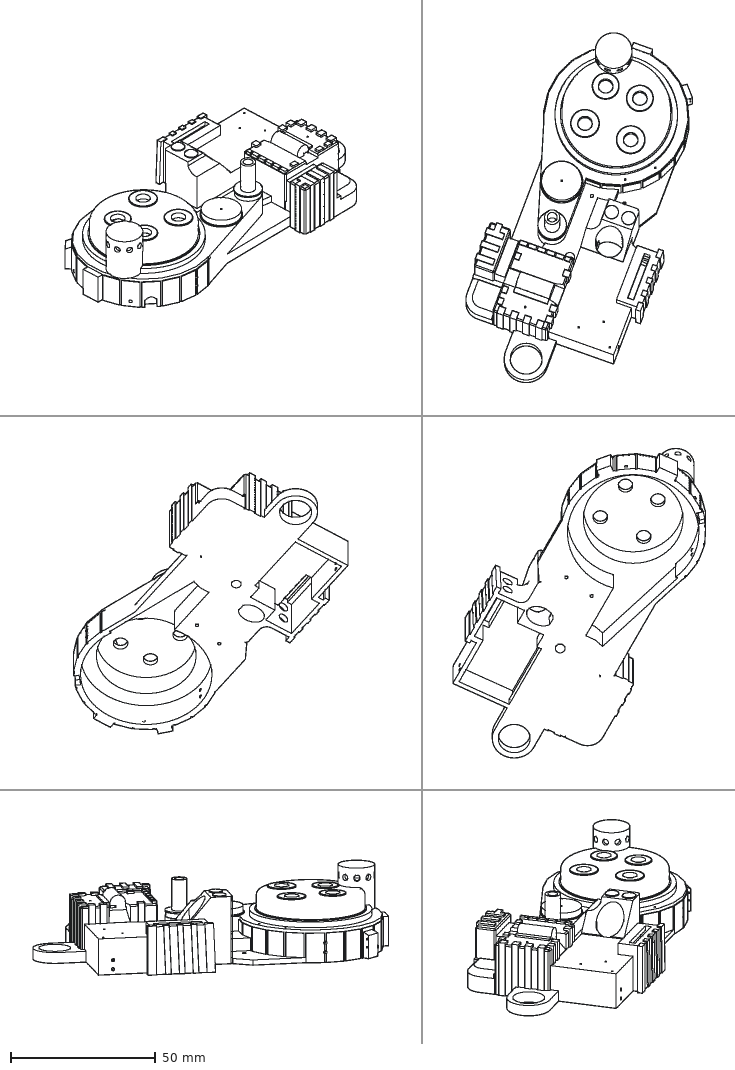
import cadquery as cq
import math


OVERLAP = 1.3

FACETS = 22
FACET_STEP = 360 / FACETS
FRONT_ANGLE = 270
CAP_APOTHEM = 24.7
PANEL_APOTHEM = 25
PANEL_ROOT = CAP_APOTHEM - OVERLAP
PANEL_WIDTH = 6.5
PANEL_HEIGHT = 10.5
ARM_TOP = 11.6
RING_RADIUS = 21.3
RING_TOP = 13.6
LIP_RADIUS = 19.4
LIP_HEIGHT = 0.4
DOME_RADIUS = 18.9
DOME_TOP = 20.1
DOME_FILLET = 1.6
PAD_HEIGHT = 0.4
PAD_CHAMFER = 0.19
DOME_HOLE_DIAMETER = 5
PAD_PAIRS = [(16.9, 8.5, 10), (12.6, -6.5, 9.4)]
CAM_X = 7.5
CAM_Y = -17.8
CAM_RADIUS = 6.4
CAM_TOP = 27.0
CAM_WALL = 1.3
CAM_VENTS = 9
CAM_VENT_DIAMETER = 2.1
CAM_VENT_Z = 23.4
CAM_CAVITY_HEIGHT = 5

FRONT_KEY_WIDTH = 7.1
FRONT_KEY_REACH = 26.9
SIDE_KEY_FACET = -3
SIDE_KEY_ANGLE = FRONT_ANGLE + SIDE_KEY_FACET * FACET_STEP
SIDE_KEY_WIDTH = 5.3
SIDE_KEY_REACH = 27.3
SIDE_KEY_OUTER_HEIGHT = 8.3
SIDE_KEY_INNER_HEIGHT = 9.3

WALL = 1.6
DRUM_CAVITY_RADIUS = 22.8
DOME_CAVITY_RADIUS = DOME_RADIUS - WALL
GEARBOX_CAVITY_FRONT = 49.8
CLIP_CAVITY_RIGHT = -19.6

DOT_DIAMETER = 0.5
DOT_DEPTH = 1.0
PORT_DIAMETER = 1.06
PORT_DEPTH = 1.9
PORT_FACETS = (-2, 2)
PORT_Z = 2.1
CROSS_HOLE_HEIGHTS = (3.6, 7.0)
KEY_HOLE_RADIUS = 26.5
KEY_HOLE_HEIGHTS = (4.0, 6.9)
CAP_DOTS = [(-10.8, 20.4), (-19.1, 12.9)]
GEARBOX_DOTS = [(-26.7, 79.0), (-14.0, 76.0), (-21.4, 71.1)]
MOTOR_DOTS = [(5.4, 77.0)]
PLATE_HOLES = [(-1.5, 28.7), (-12.6, 26.2)]
GEARBOX_SIDE_HOLES = [(76.0, 1.9), (76.0, 5.1)]

NICHE_FACET = 3
NICHE_WIDTH = 4.3
NICHE_SIDE_HEIGHT = 2.8
NICHE_HEIGHT = 4.3
NICHE_SHOULDER = (1.3, 3.8)

PLATE_LEFT = -24.2
PLATE_CORNER_Y = 25.5
PLATE_THICKNESS = 1.9
DECK_LEFT = -9.4
DECK_RIGHT = 19.6
DECK_HEIGHT = 6.4
LOW_DECK_HEIGHT = 3.9
DECK_STEP_X = 8.8
DECK_HOLE_X = -1.9
DECK_HOLE_Y = 51.9
DECK_HOLE_DIAMETER = 3.4
POST_X = 7.1
POST_Y = 45
POST_BASE_RADIUS = 5
POST_BASE_TOP = 13.9
POST_FLANGE_THICKNESS = 0.5
POST_FLANGE_OVERHANG = 0.3
POST_DIAMETER = 5.3
POST_TOP = 24.9
POST_BORE_DIAMETER = 3.4
POST_BORE_DEPTH = 7.5
ARM_LEFT = POST_X - POST_BASE_RADIUS
PULLEY_X = 9.5
PULLEY_Y = 29.0
PULLEY_RADIUS = 7.4
PULLEY_TOP = 14.3
PULLEY_STEP = 0.4
PULLEY_STEP_TOP = 12.0

LUG_RADIUS = 7.6
LUG_Y = 90.6
LUG_HOLE_DIAMETER = 11.0
LUG_THICKNESS = 3.9

BOX_LEFT = -28.8
BOX_RIGHT = -4.8
BOX_FRONT = 42.4
BOX_BACK = 81.1
BOX_TOP = 12.9
BOX_CORNER_RADIUS = 3.1
CLIP_LEFT = -32.2
CLIP_RIGHT = -23.3
CLIP_BACK = 63.2
CLIP_TOP = 17.0
CLIP_SLOT = (-28.8, -26.7, 44.3, 61.2)
CLIP_HOLE_DIAMETER = 3.5
CLIP_HOLE_X = -27.2
CLIP_HOLE_HEIGHTS = (6.0, 11.9)
CLIP_RIB_LEFT = -32.5
CLIP_RIB_DEPTH = 1.8
CLIP_RIB_TOP = 17.4
CLIP_RIB_LEAN = 0.8
CLIP_RIB_WIDTH = 2.0
CLIP_RIB_PITCH = 4.9
CLIP_RIB_START = 56.8
CLIP_END_RIB = (61.3, 64.3)
CLIP_RIB_COUNT = 4
CLIP_LAST_RIB_WIDTH = 3.0
BRACKET_LEFT = -20.4
BRACKET_STEP = -9.0
BRACKET_FRONT = 31.8
BRACKET_BACK = 48.8
BRACKET_BACK_TOP = 13.3
BRACKET_TOP = 23.9
BRACKET_TOP_BACK = 39.5
BRACKET_STEP_TOP = 22.3
BRACKET_SHELF_TOP = 19.6
BRACKET_CURVE_MIDDLE = (-7.8, 20.5)
BRACKET_CHAMFER = 0.8
SCREW_DIAMETER = 4.8
SCREW_HEIGHT = 0.4
SCREW_XS = (-17.8, -11.5)
SCREW_Y = 36.0
EYE_X = -13.9
EYE_FRONT = 40.4
EYE_HALF_WIDTH = 4.9
EYE_LENGTH_BOTTOM = 6.9
EYE_LENGTH_TOP = 10

MOTOR_LEFT = -4.6
MOTOR_RIGHT = 15.5
MOTOR_FRONT = 55
MOTOR_BACK = 82.2
MOTOR_TOP = 18.9
MOTOR_BEVEL = 0.5
TOOTH_TOP = 19.6
TOOTH_WIDTH = 2.4
TOOTH_DEPTH = 2.4
SIDE_TOOTH_REACH = 0.6
BACK_TOOTH_REACH = 0.4
LEFT_TOOTH_YS = (61.0, 74.3, 78.5)
RIGHT_TOOTH_YS = (61.0, 73.7, 78.1)
BACK_TOOTH_START = -1.6
BACK_TOOTH_PITCH = 4.8
BACK_TOOTH_COUNT = 4
FRONT_BAR = (-3.5, 15.1)
FRONT_BAR_INSET = 0.1
FRONT_BAR_DEPTH = 1.6
FRONT_GAP_START = -1.4
FRONT_GAP_PITCH = 3.4
FRONT_GAP_COUNT = 5
FRONT_GAP_WIDTH = 0.5
SADDLE_FRONT = 65.6
SADDLE_BACK = 71.6
SADDLE_FLOOR = 17.5
SADDLE_FLARE = 0.8
RAMP_TOP = 16.6
BAR_LEFT = -1.5
BAR_RIGHT = 11.0
BAR_RADIUS = 2.8
BAR_AXIS_Z = 19.1
BAR_Y = (SADDLE_FRONT + SADDLE_BACK) / 2
BAR_GAP = (69.2, 71.2, 0.8)
STRIP_BACK = 73.5
STRIP_TOP = 19.5

COVER_LEFT = 15.9
COVER_RIGHT = 27.2
COVER_FRONT = 70.7
COVER_TOP = 8.1
COVER_CORNER_RADIUS = 6.0
COVER_BEVEL = 2.3
LEDGE_DROP = 0.8
SPACER_TOP = 16.3
SPACER_BACK = 68.8
GRIP_FRONT = 52.5
GRIP_BACK = 69.3
GRIP_TOP = 18.9
GRIP_CHAMFER = 0.5
GRIP_RIB_TOP = 19.5
GRIP_RIB_LEFT = 21.0
GRIP_RIB_REACH = 0.4
GRIP_RIB_WIDTH = 2.1
GRIP_RIB_PITCH = 4.9
GRIP_RIB_START = 56.0
GRIP_RIB_COUNT = 3
GRIP_FRONT_RIB_X = 23.9
GRIP_FRONT_RIB_DEPTH = 2.5


def box(x0, x1, y0, y1, z0, z1):
    return cq.Workplane("XY").box(x1 - x0, y1 - y0, z1 - z0, centered=False).translate((x0, y0, z0))


def cylinder(x, y, radius, z0, z1):
    return cq.Workplane("XY", origin=(x, y, z0)).circle(radius).extrude(z1 - z0)


def prism(points, z1):
    return cq.Workplane("XY").polyline(points).close().extrude(z1)


def dots(points, top):
    """Shallow pin holes drilled down from a flat top."""
    return (cq.Workplane("XY", origin=(0, 0, top - DOT_DEPTH)).pushPoints(points)
            .circle(DOT_DIAMETER / 2).extrude(DOT_DEPTH))


def rim_plane(facet, radius):
    """Plane facing outwards on a drum facet, counted from the front facet."""
    angle = math.radians(FRONT_ANGLE + facet * FACET_STEP)
    outward = (math.cos(angle), math.sin(angle), 0)
    origin = (radius * outward[0], radius * outward[1], 0)
    return cq.Plane(origin=origin, xDir=(-outward[1], outward[0], 0), normal=outward)


def make_drum():
    """Faceted drum: a polygonal core with a proud panel on each facet."""
    core_diameter = 2 * CAP_APOTHEM / math.cos(math.pi / FACETS)
    drum = (cq.Workplane("XY").polygon(FACETS, core_diameter).extrude(ARM_TOP)
            .rotate((0, 0, 0), (0, 0, 1), FRONT_ANGLE + FACET_STEP / 2))
    for facet in range(FACETS):
        panel = (cq.Workplane(rim_plane(facet, PANEL_ROOT))
                 .center(0, PANEL_HEIGHT / 2)
                 .rect(PANEL_WIDTH, PANEL_HEIGHT).extrude(PANEL_APOTHEM - PANEL_ROOT))
        drum = drum.union(panel)
    return drum


def make_keys():
    half = FRONT_KEY_WIDTH / 2
    front = box(-half, half, -FRONT_KEY_REACH, -PANEL_ROOT, 0, PANEL_HEIGHT)
    side_profile = [(PANEL_ROOT, 0), (SIDE_KEY_REACH, 0), (SIDE_KEY_REACH, SIDE_KEY_OUTER_HEIGHT),
                    (PANEL_APOTHEM, SIDE_KEY_INNER_HEIGHT), (PANEL_ROOT, SIDE_KEY_INNER_HEIGHT)]
    side = (cq.Workplane("XZ").polyline(side_profile).close().extrude(SIDE_KEY_WIDTH / 2, both=True)
            .rotate((0, 0, 0), (0, 0, 1), SIDE_KEY_ANGLE))
    return front.union(side)


def make_dome():
    lip_top = RING_TOP + LIP_HEIGHT
    dome = cylinder(0, 0, RING_RADIUS, 0, RING_TOP)
    dome = dome.union(cylinder(0, 0, LIP_RADIUS, 0, lip_top))
    cover = cylinder(0, 0, DOME_RADIUS, 0, DOME_TOP).faces(">Z").edges().fillet(DOME_FILLET)
    dome = dome.union(cover)
    for spacing, y, diameter in PAD_PAIRS:
        for x in (-spacing / 2, spacing / 2):
            pad = cylinder(x, y, diameter / 2, RING_TOP, DOME_TOP + PAD_HEIGHT)
            dome = dome.union(pad.faces(">Z").edges().chamfer(PAD_CHAMFER))
    return dome


def dome_holes():
    centres = [(side * spacing / 2, y) for spacing, y, _ in PAD_PAIRS for side in (-1, 1)]
    return (cq.Workplane("XY").pushPoints(centres).circle(DOME_HOLE_DIAMETER / 2)
            .extrude(DOME_TOP + PAD_HEIGHT))


def cam_vents():
    """Hollow in the cam head and the ring of vents that opens into it."""
    cavity_bottom = CAM_VENT_Z - CAM_CAVITY_HEIGHT / 2
    vents = cylinder(CAM_X, CAM_Y, CAM_RADIUS - CAM_WALL, cavity_bottom, cavity_bottom + CAM_CAVITY_HEIGHT)
    for index in range(CAM_VENTS):
        vent = (cq.Workplane("YZ").circle(CAM_VENT_DIAMETER / 2).extrude(CAM_RADIUS + OVERLAP)
                .rotate((0, 0, 0), (0, 0, 1), 90 + index * 360 / CAM_VENTS)
                .translate((CAM_X, CAM_Y, CAM_VENT_Z)))
        vents = vents.union(vent)
    return vents


def drum_openings():
    """Small holes in the drum: rim ports, cross holes, cap pin holes and an arched niche."""
    openings = dots(CAP_DOTS, ARM_TOP)
    for facet in PORT_FACETS:
        port = (cq.Workplane(rim_plane(facet, PANEL_APOTHEM - PORT_DEPTH)).center(0, PORT_Z)
                .circle(PORT_DIAMETER / 2).extrude(2 * PORT_DEPTH))
        openings = openings.union(port)
    cross = (cq.Workplane("YZ").pushPoints([(0, z) for z in CROSS_HOLE_HEIGHTS])
             .circle(PORT_DIAMETER / 2).extrude(PANEL_APOTHEM + OVERLAP, both=True))
    key_hole = (cq.Workplane("XZ", origin=(0, -SIDE_KEY_WIDTH / 2 + DOT_DEPTH, 0))
                .pushPoints([(KEY_HOLE_RADIUS, z) for z in KEY_HOLE_HEIGHTS])
                .circle(DOT_DIAMETER / 2).extrude(2 * DOT_DEPTH)
                .rotate((0, 0, 0), (0, 0, 1), SIDE_KEY_ANGLE))
    half = NICHE_WIDTH / 2
    shoulder_x, shoulder_z = NICHE_SHOULDER
    niche = (cq.Workplane(rim_plane(NICHE_FACET, PANEL_APOTHEM - PORT_DEPTH))
             .moveTo(-half, 0).lineTo(half, 0).lineTo(half, NICHE_SIDE_HEIGHT)
             .threePointArc(NICHE_SHOULDER, (0, NICHE_HEIGHT))
             .threePointArc((-shoulder_x, shoulder_z), (-half, NICHE_SIDE_HEIGHT))
             .close().extrude(2 * PORT_DEPTH))
    return openings.union(cross).union(key_hole).union(niche)


def make_plates():
    """Thin plate beside the drum, the deck behind it and the eye lug at the far end."""
    thin = prism([(PLATE_LEFT, 0), (PLATE_LEFT, PLATE_CORNER_Y), (BRACKET_LEFT, BRACKET_FRONT),
                  (0, BRACKET_FRONT), (0, 0)], PLATE_THICKNESS)
    deck = box(DECK_LEFT, DECK_RIGHT, 0, MOTOR_FRONT, 0, LOW_DECK_HEIGHT)
    deck = deck.union(prism([(DECK_LEFT, 0), (POST_X, 0), (POST_X, POST_Y), (DECK_STEP_X, MOTOR_FRONT),
                             (DECK_LEFT, MOTOR_FRONT)], DECK_HEIGHT))
    lug = (box(-LUG_RADIUS, LUG_RADIUS, MOTOR_FRONT, LUG_Y, 0, LUG_THICKNESS)
           .union(cylinder(0, LUG_Y, LUG_RADIUS, 0, LUG_THICKNESS))
           .cut(cylinder(0, LUG_Y, LUG_HOLE_DIAMETER / 2, 0, LUG_THICKNESS)))
    deck_hole = cylinder(DECK_HOLE_X, DECK_HOLE_Y, DECK_HOLE_DIAMETER / 2, 0, DECK_HEIGHT)
    small_holes = (cq.Workplane("XY").pushPoints(PLATE_HOLES)
                   .circle(PORT_DIAMETER / 2).extrude(DECK_HEIGHT))
    return thin.union(deck).union(lug).cut(deck_hole).cut(small_holes)


def arm_outline():
    """Tapered arm whose right side is the common tangent of the drum and the post base."""
    drum_radius = PANEL_APOTHEM
    distance = math.hypot(POST_X, POST_Y)
    tangent_angle = (math.atan2(POST_Y, POST_X)
                     - math.acos((drum_radius - POST_BASE_RADIUS) / distance))
    cosine = math.cos(tangent_angle)
    sine = math.sin(tangent_angle)
    arm_start = drum_radius / 4
    return [(ARM_LEFT, arm_start), (drum_radius * cosine, drum_radius * sine),
            (POST_X + POST_BASE_RADIUS * cosine, POST_Y + POST_BASE_RADIUS * sine),
            (POST_X, POST_Y), (ARM_LEFT, POST_Y)]


def make_arm():
    arm = prism(arm_outline(), ARM_TOP)
    flange_bottom = POST_BASE_TOP - POST_FLANGE_THICKNESS
    arm = arm.union(cylinder(POST_X, POST_Y, POST_BASE_RADIUS, 0, ARM_TOP))
    arm = arm.union(cylinder(POST_X, POST_Y, POST_BASE_RADIUS - POST_FLANGE_OVERHANG, 0, flange_bottom))
    arm = arm.union(cylinder(POST_X, POST_Y, POST_BASE_RADIUS, flange_bottom, POST_BASE_TOP))
    arm = arm.union(cylinder(POST_X, POST_Y, POST_DIAMETER / 2, 0, POST_TOP))
    arm = arm.cut(cylinder(POST_X, POST_Y, POST_BORE_DIAMETER / 2, POST_TOP - POST_BORE_DEPTH, POST_TOP))
    pulley = cylinder(PULLEY_X, PULLEY_Y, PULLEY_RADIUS, 0, PULLEY_STEP_TOP)
    pulley = pulley.union(cylinder(PULLEY_X, PULLEY_Y, PULLEY_RADIUS - PULLEY_STEP, 0, PULLEY_TOP))
    return arm.union(pulley).cut(dots([(PULLEY_X, PULLEY_Y)], PULLEY_TOP))


def drum_cavity():
    """Stepped hollow under the dome and drum, running on into the arm."""
    roof = ARM_TOP - WALL
    cavity = cylinder(0, 0, DRUM_CAVITY_RADIUS, 0, roof)
    cavity = cavity.union(cylinder(0, 0, DOME_CAVITY_RADIUS, 0, DOME_TOP - WALL))
    arm = cq.Workplane("XY").polyline(arm_outline()).close().offset2D(-WALL).extrude(roof)
    return cavity.union(arm)


def housing_cavity():
    """Hollow under the gearbox, opening sideways into the hollow clip."""
    roof = BOX_TOP - WALL
    _, _, slot_front, slot_back = CLIP_SLOT
    gearbox = box(BOX_LEFT + WALL, BOX_RIGHT - WALL, GEARBOX_CAVITY_FRONT, BOX_BACK - WALL, 0, roof)
    passage = box(CLIP_LEFT + WALL, CLIP_CAVITY_RIGHT, slot_front, slot_back, 0, roof)
    clip = box(CLIP_LEFT + WALL, CLIP_RIGHT - WALL, slot_front, slot_back, 0, CLIP_TOP - WALL)
    return gearbox.union(passage).union(clip)


def make_gearbox():
    corner_front = BOX_FRONT - BOX_CORNER_RADIUS
    corner_x = BRACKET_LEFT - BOX_CORNER_RADIUS
    bulge = BOX_CORNER_RADIUS * math.sqrt(0.5)
    gearbox = (cq.Workplane("XY").moveTo(BOX_LEFT, BOX_FRONT).lineTo(corner_x, BOX_FRONT)
               .threePointArc((corner_x + bulge, corner_front + bulge), (BRACKET_LEFT, corner_front))
               .lineTo(BOX_RIGHT, corner_front).lineTo(BOX_RIGHT, BOX_BACK).lineTo(BOX_LEFT, BOX_BACK)
               .close().extrude(BOX_TOP))
    gearbox = gearbox.cut(dots(GEARBOX_DOTS, BOX_TOP))
    side_holes = (cq.Workplane("YZ", origin=(BOX_LEFT, 0, 0)).pushPoints(GEARBOX_SIDE_HOLES)
                  .circle(PORT_DIAMETER / 2).extrude(PORT_DEPTH))
    return gearbox.cut(side_holes)


def clip_rib(front, back, lean):
    """Rib on the clip face whose foot leans forward of its top."""
    outline = [(front, CLIP_RIB_TOP), (back, CLIP_RIB_TOP), (back - lean, 0), (front - lean, 0)]
    return (cq.Workplane("YZ", origin=(CLIP_RIB_LEFT, 0, 0)).polyline(outline).close()
            .extrude(CLIP_RIB_DEPTH))


def make_clip():
    clip = box(CLIP_LEFT, CLIP_RIGHT, BOX_FRONT, CLIP_BACK, 0, CLIP_TOP)
    clip = clip.union(clip_rib(*CLIP_END_RIB, 0))
    last = CLIP_RIB_COUNT - 1
    for index in range(last):
        front = CLIP_RIB_START - index * CLIP_RIB_PITCH
        clip = clip.union(clip_rib(front, front + CLIP_RIB_WIDTH, CLIP_RIB_LEAN))
    last_back = CLIP_RIB_START - last * CLIP_RIB_PITCH + CLIP_RIB_WIDTH
    return clip.union(clip_rib(last_back - CLIP_LAST_RIB_WIDTH, last_back, CLIP_RIB_LEAN))


def clip_openings():
    """Long slot through the clip and the two cross holes that reach it from the front."""
    slot_left, slot_right, slot_front, slot_back = CLIP_SLOT
    slot = box(slot_left, slot_right, slot_front, slot_back, 0, CLIP_TOP)
    holes = (cq.Workplane("XZ", origin=(0, slot_front + OVERLAP, 0))
             .pushPoints([(CLIP_HOLE_X, z) for z in CLIP_HOLE_HEIGHTS])
             .circle(CLIP_HOLE_DIAMETER / 2).extrude(slot_front + OVERLAP - BOX_FRONT))
    return slot.union(holes)


def make_bracket():
    """Wedge bracket with two screw heads and a lower shelf swept up to it by a concave curve."""
    side = [(BRACKET_FRONT, 0), (BRACKET_BACK, 0), (BRACKET_BACK, BRACKET_BACK_TOP),
            (BRACKET_TOP_BACK, BRACKET_TOP), (BRACKET_FRONT, BRACKET_TOP)]
    bracket = (cq.Workplane("YZ", origin=(BRACKET_LEFT, 0, 0)).polyline(side).close()
               .extrude(BOX_RIGHT - BRACKET_LEFT))
    bracket = bracket.edges("|Z and <X and <Y").chamfer(BRACKET_CHAMFER)
    above_shelf = (cq.Workplane("XZ", origin=(0, BRACKET_FRONT, 0))
                   .moveTo(BRACKET_STEP, BRACKET_TOP).lineTo(BRACKET_STEP, BRACKET_STEP_TOP)
                   .threePointArc(BRACKET_CURVE_MIDDLE, (BOX_RIGHT, BRACKET_SHELF_TOP))
                   .lineTo(BOX_RIGHT, BRACKET_TOP)
                   .close().extrude(BRACKET_FRONT - BRACKET_BACK))
    bracket = bracket.cut(above_shelf)
    for x in SCREW_XS:
        screw = cylinder(x, SCREW_Y, SCREW_DIAMETER / 2, BRACKET_TOP, BRACKET_TOP + SCREW_HEIGHT)
        bracket = bracket.union(screw)
    return bracket


def bracket_eye():
    """Oval hole whose front side is upright while its back side flares upwards."""
    flare = (EYE_LENGTH_TOP - EYE_LENGTH_BOTTOM) / 2
    return (cq.Workplane("XY").center(EYE_X, EYE_FRONT + EYE_LENGTH_BOTTOM / 2)
            .ellipse(EYE_HALF_WIDTH, EYE_LENGTH_BOTTOM / 2)
            .workplane(offset=BRACKET_TOP).center(0, flare)
            .ellipse(EYE_HALF_WIDTH, EYE_LENGTH_TOP / 2).loft(combine=True))


def make_motor():
    motor = box(MOTOR_LEFT, MOTOR_RIGHT, MOTOR_FRONT, MOTOR_BACK, 0, MOTOR_TOP)
    motor = motor.edges("|Z").chamfer(MOTOR_BEVEL).faces(">Z").edges().chamfer(MOTOR_BEVEL)
    half = TOOTH_WIDTH / 2
    for y in LEFT_TOOTH_YS:
        motor = motor.union(box(MOTOR_LEFT - SIDE_TOOTH_REACH, MOTOR_LEFT + TOOTH_DEPTH - SIDE_TOOTH_REACH,
                                y - half, y + half, 0, TOOTH_TOP))
    for y in RIGHT_TOOTH_YS:
        motor = motor.union(box(MOTOR_RIGHT - TOOTH_DEPTH, MOTOR_RIGHT - MOTOR_BEVEL,
                                y - half, y + half, 0, TOOTH_TOP))
    for index in range(BACK_TOOTH_COUNT):
        x = BACK_TOOTH_START + index * BACK_TOOTH_PITCH
        motor = motor.union(box(x - half, x + half, MOTOR_BACK - TOOTH_DEPTH,
                                MOTOR_BACK + BACK_TOOTH_REACH, 0, TOOTH_TOP))
    bar_back = MOTOR_FRONT + FRONT_BAR_DEPTH
    front_bar = box(*FRONT_BAR, MOTOR_FRONT + FRONT_BAR_INSET, bar_back, SADDLE_FLOOR, TOOTH_TOP)
    for index in range(FRONT_GAP_COUNT):
        x = FRONT_GAP_START + index * FRONT_GAP_PITCH
        front_bar = front_bar.cut(box(x - FRONT_GAP_WIDTH / 2, x + FRONT_GAP_WIDTH / 2, MOTOR_FRONT,
                                      bar_back, MOTOR_TOP, TOOTH_TOP))
    motor = motor.union(front_bar)
    motor = motor.union(box(BAR_LEFT, BAR_RIGHT, SADDLE_BACK, STRIP_BACK, SADDLE_FLOOR, STRIP_TOP))
    motor = motor.cut(box(MOTOR_LEFT, MOTOR_RIGHT, SADDLE_FRONT, SADDLE_BACK, SADDLE_FLOOR, TOOTH_TOP))
    motor = motor.cut(saddle_ramp()).union(make_saddle_bar())
    return motor.cut(dots(MOTOR_DOTS, MOTOR_TOP))


def saddle_ramp():
    """Sloping mouth at the left end of the saddle, wider towards the outside."""
    profile = [(MOTOR_LEFT, BOX_TOP), (BAR_LEFT, RAMP_TOP), (BAR_LEFT, TOOTH_TOP),
               (MOTOR_LEFT, TOOTH_TOP)]
    wide_front = SADDLE_FRONT - SADDLE_FLARE
    wide_back = SADDLE_BACK + SADDLE_FLARE
    slope = (cq.Workplane("XZ", origin=(0, wide_front, 0)).polyline(profile).close()
             .extrude(wide_front - wide_back))
    mouth = prism([(MOTOR_LEFT, wide_front), (BAR_LEFT, SADDLE_FRONT), (BAR_LEFT, SADDLE_BACK),
                   (MOTOR_LEFT, wide_back)], TOOTH_TOP)
    return slope.intersect(mouth)


def make_saddle_bar():
    """Round-topped bar lying in the saddle, with a narrow gap beneath it."""
    bar = (cq.Workplane("YZ", origin=(BAR_LEFT, 0, 0))
           .moveTo(BAR_Y - BAR_RADIUS, SADDLE_FLOOR).lineTo(BAR_Y + BAR_RADIUS, SADDLE_FLOOR)
           .lineTo(BAR_Y + BAR_RADIUS, BAR_AXIS_Z)
           .threePointArc((BAR_Y, BAR_AXIS_Z + BAR_RADIUS), (BAR_Y - BAR_RADIUS, BAR_AXIS_Z))
           .close().extrude(BAR_RIGHT - BAR_LEFT))
    gap_front, gap_back, gap_height = BAR_GAP
    return bar.cut(box(BAR_LEFT, BAR_RIGHT, gap_front, gap_back, SADDLE_FLOOR, SADDLE_FLOOR + gap_height))


def make_right_side():
    """Bevelled corner cover, plain spacer and the ribbed grip block."""
    cover = box(COVER_LEFT, COVER_RIGHT, COVER_FRONT, MOTOR_BACK, 0, COVER_TOP)
    cover = cover.edges("|Z and >X and >Y").fillet(COVER_CORNER_RADIUS)
    cover = cover.faces(">Z").edges("not(<X or <Y)").chamfer(COVER_BEVEL)
    ledge_top = COVER_TOP - LEDGE_DROP
    ledge = box(MOTOR_RIGHT, COVER_RIGHT, SPACER_BACK, COVER_FRONT, 0, ledge_top)
    ledge = ledge.union(box(MOTOR_RIGHT, COVER_LEFT, MOTOR_FRONT, MOTOR_BACK, 0, ledge_top))
    spacer = box(COVER_LEFT, DECK_RIGHT, MOTOR_FRONT, SPACER_BACK, 0, SPACER_TOP)
    grip = box(DECK_RIGHT, COVER_RIGHT, GRIP_FRONT, GRIP_BACK, 0, GRIP_TOP)
    grip = grip.edges("|Z").chamfer(GRIP_CHAMFER).faces(">Z").edges().chamfer(GRIP_CHAMFER)
    half = GRIP_RIB_WIDTH / 2
    for index in range(GRIP_RIB_COUNT):
        y = GRIP_RIB_START + index * GRIP_RIB_PITCH
        rib_right = COVER_RIGHT + GRIP_RIB_REACH
        grip = grip.union(box(GRIP_RIB_LEFT, rib_right, y - half, y + half, 0, GRIP_RIB_TOP))
    front_rib = box(GRIP_FRONT_RIB_X - half, GRIP_FRONT_RIB_X + half, GRIP_FRONT - GRIP_RIB_REACH,
                    GRIP_FRONT + GRIP_FRONT_RIB_DEPTH, 0, GRIP_RIB_TOP)
    return cover.union(ledge).union(spacer).union(grip).union(front_rib)


body = make_plates().union(make_arm()).union(make_drum()).union(make_keys()).union(make_dome())
body = body.union(cylinder(CAM_X, CAM_Y, CAM_RADIUS, ARM_TOP, CAM_TOP))
body = body.cut(drum_cavity()).cut(dome_holes()).cut(cam_vents()).cut(drum_openings())
housing = make_gearbox().union(make_clip()).union(make_bracket())
housing = housing.cut(housing_cavity()).cut(clip_openings()).cut(bracket_eye())
result = body.union(housing).union(make_motor()).union(make_right_side())